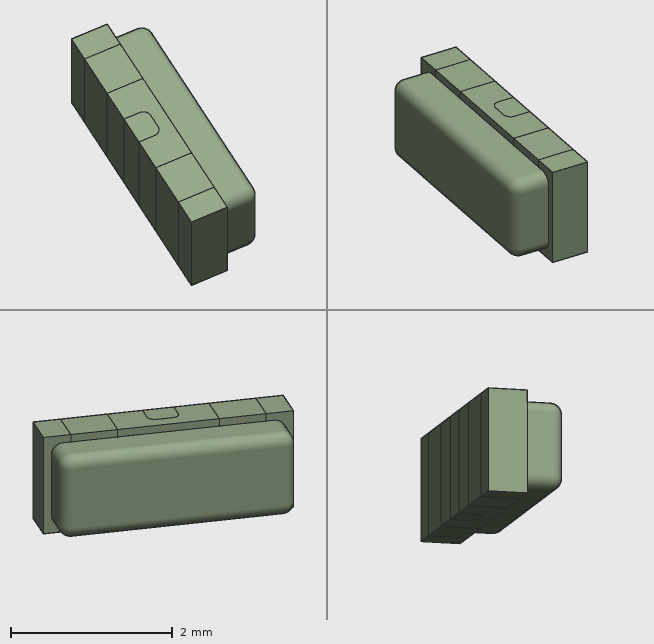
import cadquery as cq

BASE_LENGTH = 3.2
BASE_DEPTH = 0.5
HEIGHT = 1.3
END_WIDTH = 0.35
TERMINAL_WIDTH = 0.6
CENTER_WIDTH = BASE_LENGTH - 2 * (END_WIDTH + TERMINAL_WIDTH)

KEY_WIDTH = 0.4
KEY_DEPTH = 0.32
KEY_RADIUS = 0.1

LENS_MARGIN = 0.1
LENS_LENGTH = BASE_LENGTH - 2 * LENS_MARGIN
LENS_HEIGHT = HEIGHT - 2 * LENS_MARGIN
LENS_DEPTH = 0.5
LENS_RADIUS = 0.15

TERMINAL_X = CENTER_WIDTH / 2 + TERMINAL_WIDTH / 2
END_X = BASE_LENGTH / 2 - END_WIDTH / 2


def base_block(width, center_x):
    """Full-height block of the base, centered at the given X."""
    block = cq.Workplane("XY").box(width, BASE_DEPTH, HEIGHT)
    return block.translate((center_x, BASE_DEPTH / 2, 0))


def make_key():
    """Full-height key with its two rear edges rounded."""
    key = cq.Workplane("XY").box(KEY_WIDTH, KEY_DEPTH, HEIGHT)
    return key.edges("|Z and >Y").fillet(KEY_RADIUS).translate((0, KEY_DEPTH / 2, 0))


def make_lens():
    """Rounded block with only the edges against the base left sharp."""
    lens = cq.Workplane("XY").box(LENS_LENGTH, LENS_DEPTH, LENS_HEIGHT)
    lens = lens.edges("not <Y").fillet(LENS_RADIUS)
    return lens.translate((0, BASE_DEPTH + LENS_DEPTH / 2, 0))


key = make_key()
center_block = base_block(CENTER_WIDTH, 0).cut(key)
lens = make_lens()

terminals = []
end_blocks = []
for side in (-1, 1):
    terminals.append(base_block(TERMINAL_WIDTH, side * TERMINAL_X))
    end_blocks.append(base_block(END_WIDTH, side * END_X))

bodies = [lens, center_block, key, *terminals, *end_blocks]
result = cq.Compound.makeCompound([body.solids().val() for body in bodies])